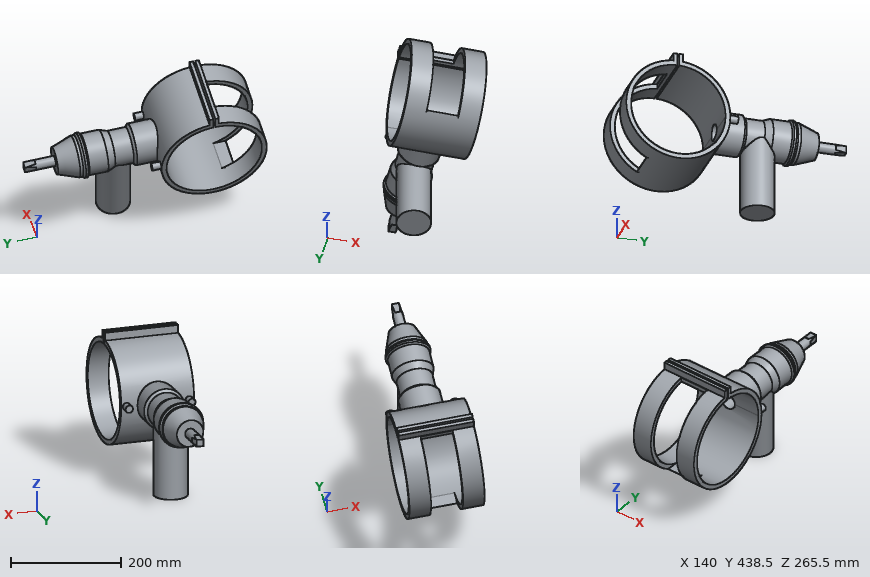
import cadquery as cq

ring_width = 140.0
ring_radius = 99.0
bore_radius = 90.0

ear_top = 113.5
ears_thickness = 17.5
split_gap = 4.0
ear_root = (ring_radius + bore_radius) / 2

window_width = 59.5
window_floor = -86.5
window_back = -9.5

body_radius = 39.0
neck_radius = 34.0
collar_radius = 42.0
nose_radius = 25.5
neck_start = 141.8
neck_end = 176.5
nose_end = 282.0

spindle_radius = 9.5
spindle_end = 339.5
square_length = 20.5
square_tip_side = 13.0
square_root_side = 17.0

branch_radius = 31.5
branch_y = 172.0
branch_bottom = -152.0

tap_radius = 15.5
tap_end = 118.5
pin_radius = 7.0
pin_spacing = 120.3
pin_end = 115.5


def cylinder_along_y(radius, y_start, y_end, x=0):
    plane = cq.Plane(origin=(x, y_start, 0), xDir=(1, 0, 0), normal=(0, 1, 0))
    return cq.Workplane(plane).circle(radius).extrude(y_end - y_start)


def disc_across_ring(radius):
    side = cq.Workplane("YZ", origin=(-ring_width / 2, 0, 0))
    return side.circle(radius).extrude(ring_width)


def make_ring():
    ring = disc_across_ring(ring_radius)
    ear_height = ear_top - ear_root
    ears = (
        cq.Workplane("XY", origin=(0, 0, ear_root))
        .rect(ring_width, ears_thickness)
        .extrude(ear_height)
    )
    return ring.union(ears)


def make_body():
    profile = [
        (0, 0),
        (body_radius, 0),
        (body_radius, 136.5),
        (neck_radius, neck_start),
        (neck_radius, neck_end),
        (body_radius, 191.0),
        (body_radius, 226.5),
        (collar_radius, 229.5),
        (collar_radius, 234.0),
        (body_radius, 238.5),
        (body_radius, 244.0),
        (nose_radius, nose_end),
        (0, nose_end),
    ]
    return cq.Workplane("XY").polyline(profile).close().revolve(360, (0, 0, 0), (0, 1, 0))


def make_spindle():
    square_start = spindle_end - square_length
    shank = cylinder_along_y(spindle_radius, nose_end, square_start)
    tip_plane = cq.Plane(origin=(0, square_start, 0), xDir=(1, 0, 0), normal=(0, 1, 0))
    square = (
        cq.Workplane(tip_plane)
        .rect(square_root_side, square_root_side)
        .workplane(offset=square_length)
        .rect(square_tip_side, square_tip_side)
        .loft(ruled=True)
        .intersect(cylinder_along_y(spindle_radius, square_start, spindle_end))
    )
    return shank.union(square)


def make_branch():
    return (
        cq.Workplane("XY", origin=(0, branch_y, branch_bottom))
        .circle(branch_radius)
        .extrude(-branch_bottom)
    )


def make_split():
    return cq.Workplane("XY").rect(ring_width, split_gap).extrude(ear_top)


def make_window():
    window_height = ear_top - window_floor
    return (
        cq.Workplane("XY", origin=(0, window_back - ring_radius, window_floor))
        .box(window_width, ring_radius, window_height, centered=(True, False, False))
    )


result = make_ring().union(make_body())
for pin_x in (-pin_spacing / 2, pin_spacing / 2):
    result = result.union(cylinder_along_y(pin_radius, bore_radius, pin_end, pin_x))
result = result.union(make_branch()).union(make_spindle())
result = result.cut(disc_across_ring(bore_radius)).cut(make_split()).cut(make_window())
result = result.cut(cylinder_along_y(tap_radius, 0, tap_end))